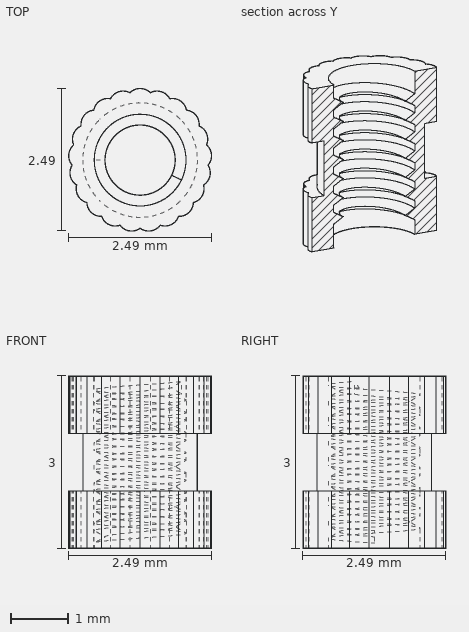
import cadquery as cq
import math

BAND_HEIGHT = 1.0
WAIST_HEIGHT = 1.0
TOTAL_HEIGHT = 2 * BAND_HEIGHT + WAIST_HEIGHT
WAIST_DIAMETER = 2.0

LOBE_COUNT = 21
LOBE_RADIUS = 0.25
LOBE_CIRCLE_RADIUS = WAIST_DIAMETER / 2
FIRST_LOBE_ANGLE = math.radians(90)

BORE_RADIUS = 1.6 / 2
THREAD_PITCH = 0.35
THREAD_FLANK_ANGLE = math.radians(30)
MINOR_RADIUS = 0.61
THREAD_END_GAP = 0.2
THREAD_START_ANGLE = 180
RIDGE_EMBED = 0.05


def polar_point(radius, angle):
    return (radius * math.cos(angle), radius * math.sin(angle))


def knurled_band(base_z):
    """Disc whose rim is a ring of outward arcs meeting at sharp valleys."""
    half_step = math.pi / LOBE_COUNT
    half_chord = LOBE_CIRCLE_RADIUS * math.sin(half_step)
    valley_radius = (
        LOBE_CIRCLE_RADIUS * math.cos(half_step)
        + math.sqrt(LOBE_RADIUS**2 - half_chord**2)
    )
    tip_radius = LOBE_CIRCLE_RADIUS + LOBE_RADIUS

    start = polar_point(valley_radius, FIRST_LOBE_ANGLE - half_step)
    outline = cq.Workplane("XY").workplane(offset=base_z).moveTo(*start)
    for lobe in range(LOBE_COUNT):
        tip_angle = FIRST_LOBE_ANGLE + 2 * half_step * lobe
        tip = polar_point(tip_radius, tip_angle)
        valley = polar_point(valley_radius, tip_angle + half_step)
        outline = outline.threePointArc(tip, valley)
    return outline.close().extrude(BAND_HEIGHT)


def threaded_ridge():
    """Triangular ridge swept along a right-handed helix inside the bore."""
    helix = cq.Wire.makeHelix(THREAD_PITCH, TOTAL_HEIGHT - 2 * THREAD_END_GAP, BORE_RADIUS)
    root_radius = BORE_RADIUS + RIDGE_EMBED
    half_base = (root_radius - MINOR_RADIUS) * math.tan(THREAD_FLANK_ANGLE)
    profile = (
        cq.Workplane("XZ")
        .moveTo(MINOR_RADIUS, 0)
        .lineTo(root_radius, half_base)
        .lineTo(root_radius, -half_base)
        .close()
    )
    ridge = profile.sweep(cq.Workplane(helix), isFrenet=True)
    axis_start = (0, 0, 0)
    axis_end = (0, 0, 1)
    return ridge.rotate(axis_start, axis_end, THREAD_START_ANGLE).translate((0, 0, THREAD_END_GAP))


def sleeve():
    """Knurled outer body with the plain through bore."""
    waist = cq.Workplane("XY").circle(WAIST_DIAMETER / 2).extrude(TOTAL_HEIGHT)
    lower_band = knurled_band(0)
    upper_band = knurled_band(BAND_HEIGHT + WAIST_HEIGHT)
    bore = cq.Workplane("XY").circle(BORE_RADIUS).extrude(TOTAL_HEIGHT)
    return waist.union(lower_band).union(upper_band).cut(bore)


result = sleeve().union(threaded_ridge())